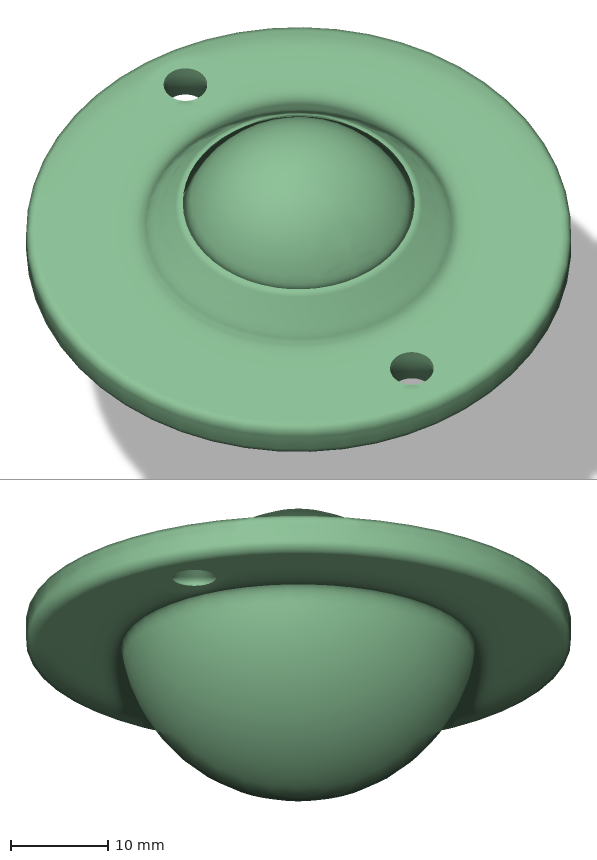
import cadquery as cq
import math

flange_radius = 28.0
flange_bottom = 15.45
flange_thickness = 4.05
flange_top = flange_bottom + flange_thickness
round_radius = 1.0

plate_thickness = 1.6
joint_height = flange_top - plate_thickness
collar_foot_radius = 15.95
collar_height = 3.65
collar_top = flange_top + collar_height
collar_top_radius = collar_foot_radius - collar_height

mouth_radius = collar_top_radius - round_radius * math.tan(math.radians(22.5))

cup_flange_radius = flange_radius - plate_thickness
bowl_radius = 18.5

ball_radius = 12.7
ball_top = 30.0
ball_center_height = ball_top - ball_radius
cover_socket_radius = math.hypot(mouth_radius, collar_top - ball_center_height)

hole_diameter = 4.5
hole_offset = 22.75


def sphere_at_ball_center(radius):
    return cq.Workplane("XY").sphere(radius).translate((0, 0, ball_center_height))


def mounting_holes():
    return (
        cq.Workplane("XY", origin=(0, 0, flange_bottom))
        .pushPoints([(-hole_offset, 0), (hole_offset, 0)])
        .circle(hole_diameter / 2)
        .extrude(flange_thickness)
    )


def rounded_arc(center_r, center_z, start_degrees, end_degrees):
    """Start, middle and end point of a profile round, angles from the +radius axis."""
    angles = (start_degrees, (start_degrees + end_degrees) / 2, end_degrees)
    return [
        (
            center_r + round_radius * math.cos(math.radians(angle)),
            center_z + round_radius * math.sin(math.radians(angle)),
        )
        for angle in angles
    ]


def make_cover():
    tangent_length = round_radius * math.tan(math.radians(22.5))
    rim_center_r = flange_radius - round_radius
    rim_bottom = rounded_arc(rim_center_r, flange_bottom + round_radius, -90, 0)
    rim_top = rounded_arc(rim_center_r, flange_top - round_radius, 0, 90)
    foot = rounded_arc(collar_foot_radius + tangent_length, flange_top + round_radius, 270, 225)
    mouth = rounded_arc(mouth_radius, collar_top - round_radius, 45, 90)

    profile = (
        cq.Workplane("XZ")
        .moveTo(0, joint_height)
        .lineTo(cup_flange_radius, joint_height)
        .lineTo(cup_flange_radius, flange_bottom)
        .lineTo(*rim_bottom[0])
        .threePointArc(*rim_bottom[1:])
        .lineTo(*rim_top[0])
        .threePointArc(*rim_top[1:])
        .lineTo(*foot[0])
        .threePointArc(*foot[1:])
        .lineTo(*mouth[0])
        .threePointArc(*mouth[1:])
        .lineTo(0, collar_top)
        .close()
    )
    body = profile.revolve(360, (0, 0, 0), (0, 1, 0))
    return body.cut(sphere_at_ball_center(cover_socket_radius)).cut(mounting_holes())


def make_cup():
    half_angle = math.acos(1 - flange_bottom / bowl_radius) / 2
    bowl_middle = (
        bowl_radius * math.sin(half_angle),
        bowl_radius * (1 - math.cos(half_angle)),
    )
    bowl_edge = (bowl_radius * math.sin(2 * half_angle), flange_bottom)
    profile = (
        cq.Workplane("XZ")
        .moveTo(0, 0)
        .threePointArc(bowl_middle, bowl_edge)
        .lineTo(cup_flange_radius, flange_bottom)
        .lineTo(cup_flange_radius, joint_height)
        .lineTo(0, joint_height)
        .close()
    )
    body = profile.revolve(360, (0, 0, 0), (0, 1, 0))
    return body.cut(sphere_at_ball_center(ball_radius)).cut(mounting_holes())


def make_ball():
    return sphere_at_ball_center(ball_radius)


cover = make_cover()
cup = make_cup()
ball = make_ball()

result = cq.Compound.makeCompound([cover.val(), cup.val(), ball.val()])